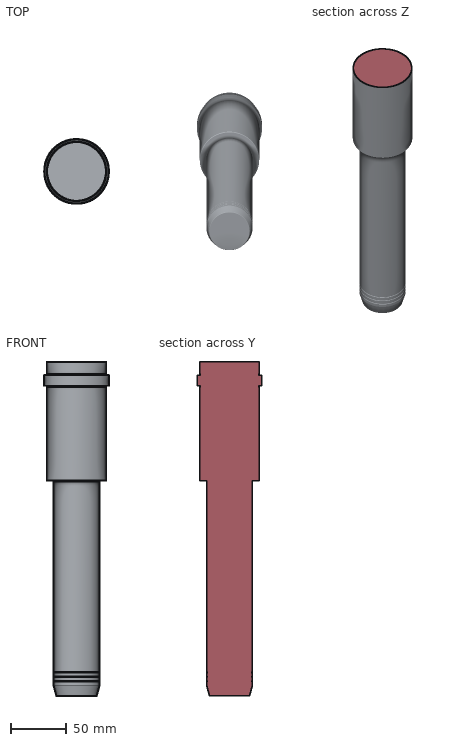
import cadquery as cq
import math

total_length = 303.0
shaft_diameter = 42.0
body_diameter = 54.0
flange_diameter = 59.0
body_length = 108.0
head_length = 12.0
flange_thickness = 10.0
edge_chamfer = 0.5

tip_length = 10.0
tip_angle = 15.0
tip_fillet = 0.5

undercut_width = 1.0
undercut_depth = 0.3

groove_count = 3
groove_pitch = 4.0
groove_radius = 0.5
first_groove_height = 13.5

shaft_radius = shaft_diameter / 2
body_radius = body_diameter / 2
flange_radius = flange_diameter / 2
tip_radius = shaft_radius - tip_length * math.tan(math.radians(tip_angle))
body_bottom = total_length - body_length
flange_top = total_length - head_length
flange_bottom = flange_top - flange_thickness


def undercut_below(radius, shoulder_height):
    """Outline points, going up, of an undercut that ends at a shoulder."""
    bottom = shoulder_height - undercut_width
    floor_radius = radius - undercut_depth
    return [(radius, bottom), (floor_radius, bottom), (floor_radius, shoulder_height)]


def undercut_above(radius, shoulder_height):
    """Outline points, going up, of an undercut that starts at a shoulder."""
    top = shoulder_height + undercut_width
    floor_radius = radius - undercut_depth
    return [(floor_radius, shoulder_height), (floor_radius, top), (radius, top)]


def chamfer_at_bottom(radius, height):
    """Outline points, going up, of a chamfered lower edge."""
    return [(radius - edge_chamfer, height), (radius, height + edge_chamfer)]


def chamfer_at_top(radius, height):
    """Outline points, going up, of a chamfered upper edge."""
    return [(radius, height - edge_chamfer), (radius - edge_chamfer, height)]


def pillar():
    """Revolved tip, shaft, body, flange and head, with the seam facing -X."""
    half_outline = [
        (0, 0),
        (tip_radius, 0),
        (shaft_radius, tip_length),
        *undercut_below(shaft_radius, body_bottom),
        *chamfer_at_bottom(body_radius, body_bottom),
        *undercut_below(body_radius, flange_bottom),
        (flange_radius, flange_bottom),
        *chamfer_at_top(flange_radius, flange_top),
        *undercut_above(body_radius, flange_top),
        *chamfer_at_top(body_radius, total_length),
        (0, total_length),
    ]
    points = [(-radius, height) for radius, height in half_outline]
    return cq.Workplane("XZ").polyline(points).close().revolve(360, (0, 0), (0, 1))


def groove_cutter(height):
    """Torus that cuts one half-round groove centred on the shaft surface."""
    section = cq.Workplane("XZ").center(-shaft_radius, height).circle(groove_radius)
    return section.revolve(360, (shaft_radius, 0), (shaft_radius, 1))


result = pillar().faces("<Z").edges().fillet(tip_fillet)
for index in range(groove_count):
    result = result.cut(groove_cutter(first_groove_height + index * groove_pitch))